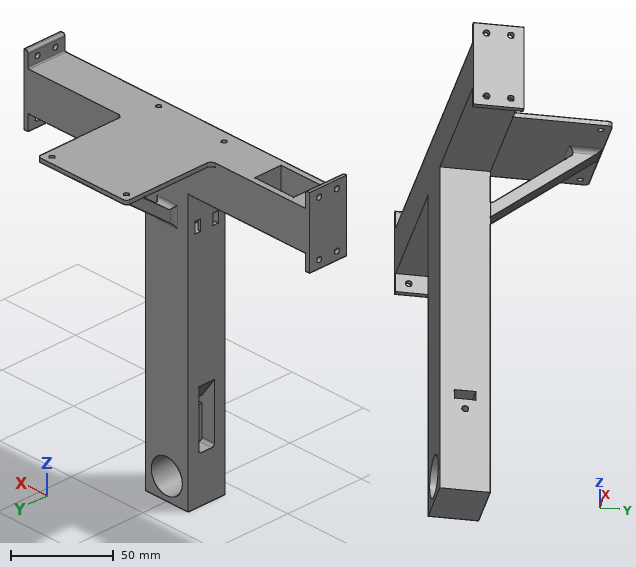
import cadquery as cq

span = 200.0
height = 212.8
depth = 25.1
reach = 82.8
mid_depth = depth / 2

column_width = 30.0
column_side = column_width / 2
foot_hole_diameter = 21.7
foot_hole_height = 14.0

flange_thickness = 3.0
flange_height = 45.1
flange_lip = 10.0
bar_height = 25.1
bar_top = height - flange_lip
bar_bottom = bar_top - bar_height
flange_hole_diameter = 3.2
flange_hole_spacing_y = 12.1
flange_hole_inset = 5.1
flange_round = 1.5
flange_root_round = 0.6

plate_width = 62.1
plate_thickness = 2.5
plate_bottom = bar_top - plate_thickness
plate_corner_round = 2.1
plate_root_round = 3.0
plate_hole_diameter = 3.0
plate_hole_spacing = 52.1
plate_hole_inset = 5.0
pilot_diameter = 3.0
pilot_depth = flange_lip
pilot_positions = [(-21.5, 7.0), (plate_hole_spacing / 2, 5.3)]

bar_pocket_length = 27.2
bar_pocket_width = 17.9
bar_pocket_depth = 21.3
bar_pocket_center_x = -71.5

strut_width = 10.0
strut_foot = 156.5
strut_rise = 7.5
strut_tip = reach - 0.5
strut_round = 2.3

tie_inner_radius = 4.3
tie_outer_radius = 7.9
tie_height = 7.0
tie_bottom = 153.6

slot_width = 10.6
slot_bottom = 29.8
slot_top = 67.2
slot_pocket_depth = 8.7
slot_ledge = 50.5
slot_throat_top = 55.1
slot_corner_round = 1.7
slot_hole_diameter = 3.2
slot_hole_height = 45.1


def box(x0, x1, y0, y1, z0, z1):
    """Return an axis-aligned block between two opposite corners."""
    return cq.Workplane("XY").box(x1 - x0, y1 - y0, z1 - z0, centered=False).translate((x0, y0, z0))


def make_frame():
    """Column and crossbar with the flat mounting plate."""
    column = box(-column_side, column_side, 0, depth, 0, bar_top)
    bar = box(-span / 2, span / 2, 0, depth, bar_bottom, bar_top)
    plate = box(-plate_width / 2, plate_width / 2, 0, reach, plate_bottom, bar_top)
    plate = plate.edges("|Z and >Y").fillet(plate_corner_round)
    frame = column.union(bar).union(plate)
    for side in (-1, 1):
        root_center = (side * plate_width / 2, depth, plate_bottom + plate_thickness / 2)
        frame = frame.edges(cq.selectors.NearestToPointSelector(root_center)).fillet(plate_root_round)
    return frame


def make_flange(side):
    """End flange with a rounded inner top edge; side is -1 (left) or 1 (right)."""
    inner = span / 2 - flange_thickness
    flange = box(inner, span / 2, 0, depth, height - flange_height, height)
    flange = flange.edges("|Y and >Z and <X").fillet(flange_round)
    root = (
        cq.Workplane("XZ", origin=(inner, 0, bar_top))
        .lineTo(-flange_root_round, 0)
        .radiusArc((0, flange_root_round), -flange_root_round)
        .close()
        .extrude(-depth)
    )
    flange = flange.union(root)
    if side < 0:
        flange = flange.mirror("YZ")
    return flange


def make_strut():
    """Diagonal strut reaching from the column's back to the plate's free edge."""
    slope = (plate_bottom - strut_foot) / (strut_tip - depth)
    strut_inner = strut_tip - strut_rise / slope
    return (
        cq.Workplane("YZ")
        .polyline([
            (depth, strut_foot),
            (strut_tip, plate_bottom),
            (strut_inner, plate_bottom),
            (depth, strut_foot + strut_rise),
        ])
        .close()
        .extrude(strut_width / 2, both=True)
    )


def blend_strut(body):
    """Round the inner corners where the strut joins the column and plate."""
    margin = 0.2
    half = strut_width / 2 + margin
    at_column = cq.selectors.BoxSelector(
        (-half, depth - margin, strut_foot - margin),
        (half, depth + margin, strut_foot + strut_rise + margin),
    )
    at_plate = cq.selectors.BoxSelector(
        (-half, depth + margin, plate_bottom - margin),
        (half, strut_tip - margin, plate_bottom + margin),
    )
    return body.edges(at_column).fillet(strut_round).edges(at_plate).fillet(strut_round)


def drill_x(diameter, y, z, length):
    """Round cutter along X, centred on the part."""
    return cq.Workplane("YZ").center(y, z).circle(diameter / 2).extrude(length / 2, both=True)


def drill_down(diameter, points, hole_depth):
    """Vertical round cutters sunk from the top of the bar."""
    return cq.Workplane("XY", origin=(0, 0, bar_top)).pushPoints(points).circle(diameter / 2).extrude(-hole_depth)


def make_slot():
    """Side pocket with a sloping ceiling, a throat to the far side and a hole below it."""
    back = -column_side + slot_pocket_depth
    slot = (
        cq.Workplane("XZ", origin=(0, mid_depth, 0))
        .polyline([
            (-column_side, slot_bottom),
            (-column_side, slot_top),
            (back, slot_throat_top),
            (column_side, slot_throat_top),
            (column_side, slot_ledge),
            (back, slot_ledge),
            (back, slot_bottom),
        ])
        .close()
        .extrude(slot_width / 2, both=True)
        .edges("|X and <Z")
        .fillet(slot_corner_round)
    )
    hole = drill_x(slot_hole_diameter, mid_depth, slot_hole_height, column_width)
    hole = hole.intersect(box(back, column_side, 0, depth, 0, bar_top))
    return slot.union(hole)


result = make_frame().union(make_strut())
result = blend_strut(result)
for side in (-1, 1):
    result = result.union(make_flange(side))

flange_inner = span / 2 - flange_thickness
between_flanges = box(-flange_inner, flange_inner, 0, depth, 0, height)
flange_hole_top = height - flange_hole_inset
flange_hole_bottom = height - flange_height + flange_hole_inset
for y_side in (-1, 1):
    hole_y = mid_depth + y_side * flange_hole_spacing_y / 2
    for hole_z in (flange_hole_bottom, flange_hole_top):
        cutter = drill_x(flange_hole_diameter, hole_y, hole_z, span)
        result = result.cut(cutter.cut(between_flanges))

plate_holes = [(side * plate_hole_spacing / 2, reach - plate_hole_inset) for side in (-1, 1)]
result = result.cut(drill_down(plate_hole_diameter, plate_holes, plate_thickness))
result = result.cut(drill_down(pilot_diameter, pilot_positions, pilot_depth))
bar_pocket = (
    cq.Workplane("XY", origin=(bar_pocket_center_x, mid_depth, bar_top))
    .rect(bar_pocket_length, bar_pocket_width)
    .extrude(-bar_pocket_depth)
)
result = result.cut(bar_pocket)

foot_hole = (
    cq.Workplane("XZ", origin=(0, 0, foot_hole_height))
    .circle(foot_hole_diameter / 2)
    .extrude(-depth)
)
tie_channel = (
    cq.Workplane("XY", origin=(-column_side, mid_depth, tie_bottom))
    .circle(tie_outer_radius)
    .circle(tie_inner_radius)
    .extrude(tie_height)
)
result = result.cut(foot_hole).cut(tie_channel).cut(make_slot())